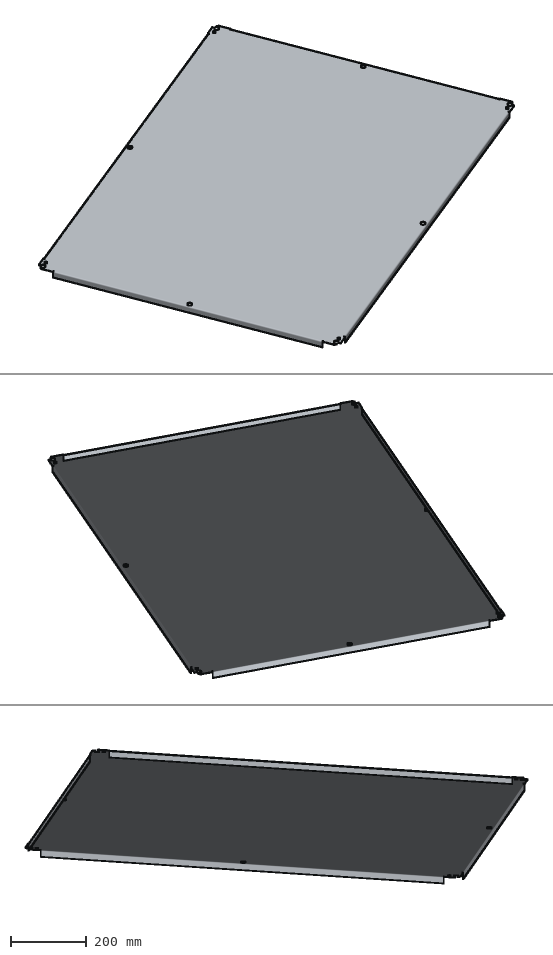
import cadquery as cq

width = 868.0
length = 1173.0
height = 20.0
sheet = 2.0
bend_inner_radius = 2.0
bend_outer_radius = bend_inner_radius + sheet

end_flange_setback = 47.0
side_flange_setback = 43.0

notch_width = 8.0
notch_length = 13.0
corner_chamfer = 5.0

mount_diameter = 13.0
mount_x = 421.0
mount_y = 574.0
pilot_diameter = 8.0
pilot_y = 556.0


def corner_points(sign_x, sign_y):
    """Outline of one notched corner, from the side edge to the end edge."""
    side = width / 2
    end = length / 2
    inner_side = side - notch_width
    points = [
        (side, end - notch_length),
        (inner_side, end - notch_length),
        (inner_side, end - corner_chamfer),
        (inner_side - corner_chamfer, end),
    ]
    return [(sign_x * x, sign_y * y) for x, y in points]


def make_plate():
    outline = (
        corner_points(1, 1)
        + corner_points(-1, 1)[::-1]
        + corner_points(-1, -1)
        + corner_points(1, -1)[::-1]
    )
    return cq.Workplane("XY").workplane(offset=height - sheet).polyline(outline).close().extrude(sheet)


def bend_clearance(span, run):
    """Strip of the flat plate, along its +X edge, that the bend of a flange replaces."""
    strip = cq.Workplane("XY").box(bend_outer_radius, run, sheet)
    return strip.translate((span / 2 - bend_outer_radius / 2, 0, height - sheet / 2))


def make_flange(span, run):
    """Downward flange on the +X edge of a panel that measures span along X."""
    outer = span / 2
    bend_start = outer - bend_outer_radius
    bend_bottom = height - bend_outer_radius
    inner = outer - sheet
    profile = (
        cq.Workplane("XZ", origin=(0, run / 2, 0))
        .moveTo(bend_start, height)
        .radiusArc((outer, bend_bottom), bend_outer_radius)
        .lineTo(outer, 0)
        .lineTo(inner, 0)
        .lineTo(inner, bend_bottom)
        .radiusArc((bend_start, height - sheet), -bend_inner_radius)
        .close()
    )
    return profile.extrude(run)


def add_flange(panel, span, run, angle):
    axis = ((0, 0, 0), (0, 0, 1))
    panel = panel.cut(bend_clearance(span, run).rotate(*axis, angle))
    return panel.union(make_flange(span, run).rotate(*axis, angle))


def drill(panel, centres, diameter):
    cutter = cq.Workplane("XY").pushPoints(centres).circle(diameter / 2).extrude(height)
    return panel.cut(cutter)


result = make_plate()
for angle in (0, 180):
    result = add_flange(result, width, length - 2 * side_flange_setback, angle)
for angle in (90, 270):
    result = add_flange(result, length, width - 2 * end_flange_setback, angle)

mount_centres = [
    (x, y)
    for x in (-mount_x, 0, mount_x)
    for y in (-mount_y, 0, mount_y)
    if (x, y) != (0, 0)
]
result = drill(result, mount_centres, mount_diameter)

pilot_centres = [(x, y) for x in (-mount_x, mount_x) for y in (-pilot_y, pilot_y)]
result = drill(result, pilot_centres, pilot_diameter)